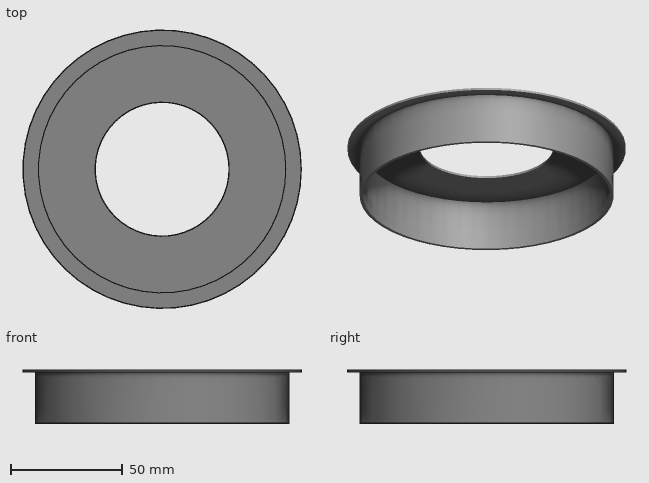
import cadquery as cq

flange_diameter = 125.0
sleeve_outer_diameter = 114.0
sleeve_inner_diameter = 111.0
opening_diameter = 60.0
total_height = 24.0
plate_thickness = 1.0

plate_bottom = total_height - plate_thickness


def ring(outer_diameter, inner_diameter, bottom, height):
    """Flat-ended ring around the Z axis."""
    return (
        cq.Workplane("XY", origin=(0, 0, bottom))
        .circle(outer_diameter / 2)
        .circle(inner_diameter / 2)
        .extrude(height)
    )


def make_flanged_sleeve():
    """Thin-walled sleeve with a flange around its top edge."""
    sleeve = ring(sleeve_outer_diameter, sleeve_inner_diameter, 0, total_height)
    flange = ring(flange_diameter, sleeve_outer_diameter, plate_bottom, plate_thickness)
    return sleeve.union(flange, clean=False).solids()


def make_cover():
    """Annular cover plate that fits inside the top of the sleeve."""
    return ring(sleeve_inner_diameter, opening_diameter, plate_bottom, plate_thickness)


flanged_sleeve = make_flanged_sleeve()
cover = make_cover()

result = cq.Compound.makeCompound([flanged_sleeve.val(), cover.val()])